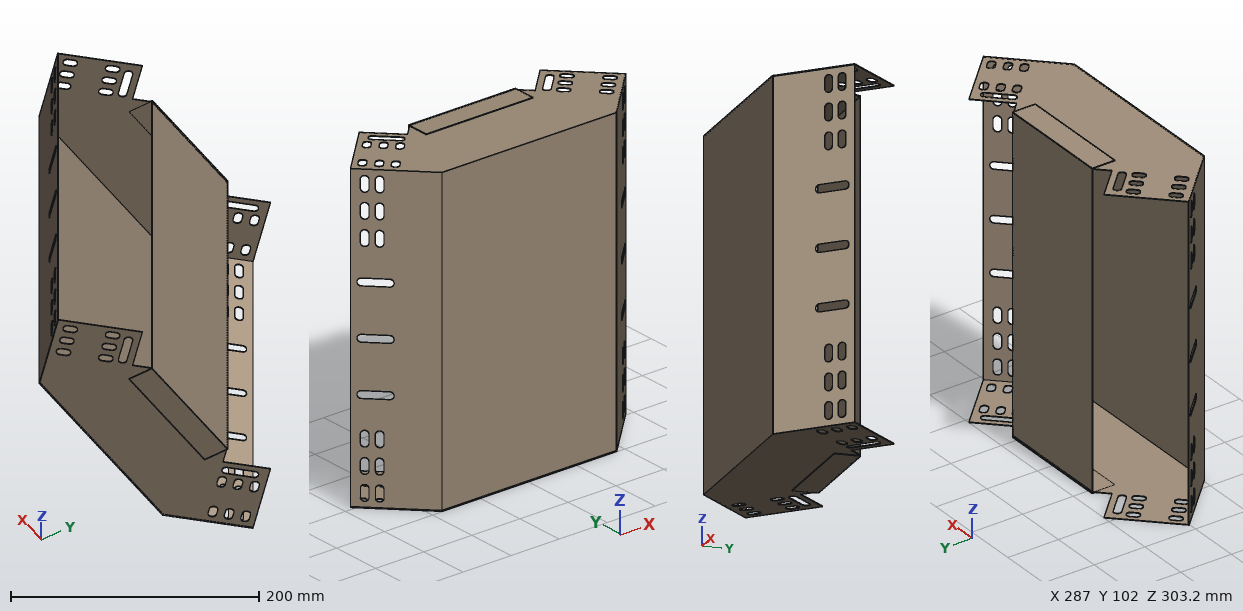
import cadquery as cq
import math

HALF_WIDTH = 143.5
DEPTH = 102.0
HEIGHT = 303.2
SHEET = 0.8

ARM_ANGLE = 45
ARM_WIDTH = 69.7
ARM_BACK_LENGTH = 39.0
HOUSING_HEIGHT = HEIGHT - 2 * SHEET

COVER_HALF_WIDTH = 55.5
COVER_FLANGE = 22.5
COVER_BACK_Y = 35.2

ACROSS = 90
SLOT_WIDTH = 7.0
LONG_SLOT = 30.0
WALL_SLOT = 15.0
WALL_SLOT_DISTANCES = [11.5, 23.5]
WALL_SLOT_HEIGHTS = [89.0, 113.5, 137.5]
WALL_LONG_DISTANCE = 20.3
WALL_LONG_PITCH = 50.0
PLATE_SLOT = 11.8
PLATE_SLOT_DISTANCES = [8.5, 22.0, 35.5]
PLATE_SLOT_OFFSETS = [12.0, 47.0]
PLATE_LONG_DISTANCE = 23.0
PLATE_LONG_OFFSET = 60.5

DIAGONAL = math.sin(math.radians(ARM_ANGLE))
FRONT_Y = -DEPTH / 2
BACK_Y = DEPTH / 2
CORNER_Y = BACK_Y - ARM_WIDTH * DIAGONAL
FRONT_HALF = HALF_WIDTH - (CORNER_Y - FRONT_Y)
TIP_X = HALF_WIDTH - ARM_WIDTH * DIAGONAL
NOTCH_X = TIP_X - ARM_BACK_LENGTH * DIAGONAL
NOTCH_Y = BACK_Y - ARM_BACK_LENGTH * DIAGONAL
RIM_Y = COVER_BACK_Y - SHEET
WALL_CUT_REACH = 2 * SHEET


def mirrored_outline(right_points):
    """Closed wire from the right-hand points, listed front to back, and their mirror images."""
    left_points = [(-x, y) for x, y in reversed(right_points)]
    return cq.Workplane("XY").polyline(right_points + left_points).close()


def arm_frame(normal):
    """Workplane at the outer corner of the right arm, local X running inward from its open end."""
    return cq.Workplane(cq.Plane(
        origin=(HALF_WIDTH, CORNER_Y, 0),
        xDir=(-DIAGONAL, -DIAGONAL, 0),
        normal=normal,
    ))


def make_shell():
    """Folded channel, open at the back and at both arm ends."""
    outline = mirrored_outline([
        (FRONT_HALF, FRONT_Y),
        (HALF_WIDTH, CORNER_Y),
        (TIP_X, BACK_Y),
        (NOTCH_X, NOTCH_Y),
        (NOTCH_X - (RIM_Y - NOTCH_Y), RIM_Y),
    ])
    body = outline.extrude(HOUSING_HEIGHT / 2, both=True)
    inner_half = FRONT_HALF - SHEET * math.tan(math.radians(ARM_ANGLE / 2))
    inner_y = FRONT_Y + SHEET
    cavity = mirrored_outline([
        (inner_half, inner_y),
        (inner_half + DEPTH, inner_y + DEPTH),
    ]).extrude(HOUSING_HEIGHT / 2 - SHEET, both=True)
    return body.cut(cavity)


def wall_slots():
    """Cutters for the slots through the right side wall."""
    short_points = [
        (distance, side * height)
        for distance in WALL_SLOT_DISTANCES
        for height in WALL_SLOT_HEIGHTS
        for side in (-1, 1)
    ]
    long_points = [(WALL_LONG_DISTANCE, row * WALL_LONG_PITCH) for row in (-1, 0, 1)]
    frame = arm_frame((DIAGONAL, -DIAGONAL, 0))
    short = (
        frame.pushPoints(short_points)
        .slot2D(WALL_SLOT, SLOT_WIDTH, ACROSS)
        .extrude(WALL_CUT_REACH, both=True)
    )
    long = frame.pushPoints(long_points).slot2D(LONG_SLOT, SLOT_WIDTH).extrude(WALL_CUT_REACH, both=True)
    return short.union(long)


def plate_slots():
    """Cutters for the slots through the top and bottom plates of the right arm."""
    frame = arm_frame((0, 0, -1))
    points = [(distance, offset) for distance in PLATE_SLOT_DISTANCES for offset in PLATE_SLOT_OFFSETS]
    short = frame.pushPoints(points).slot2D(PLATE_SLOT, SLOT_WIDTH, ACROSS).extrude(HEIGHT / 2, both=True)
    long = (
        frame.center(PLATE_LONG_DISTANCE, PLATE_LONG_OFFSET)
        .slot2D(LONG_SLOT, SLOT_WIDTH)
        .extrude(HEIGHT / 2, both=True)
    )
    return short.union(long)


def make_housing():
    """Shell with the right arm's slots and their mirror images."""
    right_slots = wall_slots().union(plate_slots())
    return make_shell().cut(right_slots).cut(right_slots.mirror("YZ"))


def make_cover():
    """C-shaped cover: a web behind the housing and a flange over each plate."""
    block = cq.Workplane("XY").box(2 * COVER_HALF_WIDTH, COVER_FLANGE, HEIGHT)
    opening = (
        cq.Workplane("XY")
        .box(2 * COVER_HALF_WIDTH, COVER_FLANGE, HOUSING_HEIGHT)
        .translate((0, -SHEET, 0))
    )
    return block.cut(opening).translate((0, COVER_BACK_Y - COVER_FLANGE / 2, 0))


housing = make_housing()
cover = make_cover()

result = cq.Compound.makeCompound([housing.val(), cover.val()])